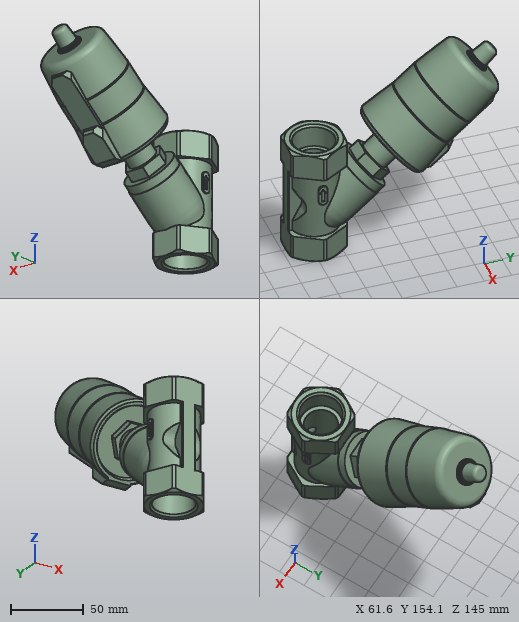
import cadquery as cq
import math


BODY_LENGTH = 90.4
BODY_RADIUS = 18.5
BORE_DIA = 24.0
SOCKET_DIA = 30.3
SOCKET_DEPTH = 17.7
SOCKET_CHAMFER = 1.5

HEX_ACROSS_FLATS = 41.5
HEX_CORNER_RADIUS = 23.3
HEX_HEIGHT = 19.7
HEX_FACE_DIA = 41.0
HEX_CHAMFER_ANGLE = 30.0

RIB_WIDTH = 10.5
RIB_CHAMFER = 0.6

HOLLOW_TOP = (-19.4, 12.5)
HOLLOW_ARC_START = (-14.0, 5.5)
HOLLOW_DEEPEST = (-10.8, -1.7)
HOLLOW_ARC_END = (-13.0, -8.0)
HOLLOW_BOTTOM = (-19.4, -20.6)
HOLLOW_WALL = 1.8

PAD_WIDTH = 6.5
PAD_LENGTH = 15.7
PAD_CENTRE_Z = 9.5
PAD_FACE_X = 19.4
ARROW_TIP_Z = 14.6
ARROW_NECK_Z = 11.4
ARROW_TAIL_Z = 4.6
ARROW_HEAD_HALF_WIDTH = 2.2
ARROW_SHAFT_HALF_WIDTH = 1.1
ARROW_DEPTH = 0.5

BRANCH_ELEVATION = 40.0
BRANCH_ORIGIN_Z = -17.4

BRANCH_RADIUS = 20.5
COLLAR_RADIUS = 20.0
TAIL_RADIUS = 17.5
SHOULDER_RADIUS = 19.9
SHOULDER_BULGE = 0.2
SHOULDER_START = 8.8
BARREL_START = 15.2
COLLAR_START = 41.9
COLLAR_END = 48.8

NUT_ACROSS_FLATS = 27.1
BONNET_END = 57.3
NECK_DIA = 22.0
GLAND_START = 70.1

RIM_RADIUS = 30.8
RIM_START = 72.9
RIM_CHAMFER = 1.4
RIM_CHAMFER_LENGTH = 2.6
RECESS_RADIUS = 27.0
RECESS_FLOOR_RADIUS = 25.9
RECESS_DEPTH = 3.4
BAND_RADIUS = 28.0
BAND_START = 102.5
BAND_END = 123.4
SIDE_BULGE = 0.2
CAP_RADIUS = 25.0
CAP_END = 155.0
CAP_FILLET = 4.8
SEAM_WIDTH = 0.8
SEAM_DEPTH = 0.3

FLANGE_DIA = 18.2
FLANGE_HEIGHT = 1.8
FLANGE_CHAMFER = 0.6
STEP_RADIUS = 7.5
STEP_HEIGHT = 1.1
KNOB_BASE_RADIUS = 7.0
KNOB_TIP_RADIUS = 5.9
KNOB_END = 170.3
KNOB_FILLET = 2.6

PORT_HALF_WIDTH = 9.2
PORT_END_HALF_WIDTH = 4.6
PORT_FLOOR_Z = 7.0
PORT_CEILING_Z = 92.4
HOUSING_PORTS = (
    (89.3, 148.2, 28.6, 127.4, 131.5),
    (RIM_START, 103.8, 34.2, 95.0, 100.1),
)


def incline(shape):
    """Carry a shape built along +Z from the origin onto the branch axis."""
    tilted = shape.rotate((0, 0, 0), (1, 0, 0), BRANCH_ELEVATION - 90)
    return tilted.translate((0, 0, BRANCH_ORIGIN_Z))


def cylinder(radius, start, end):
    return cq.Workplane("XY").workplane(offset=start).circle(radius).extrude(end - start)


def hexagon(across_flats, start, end):
    """Hexagonal prism along Z with two corners on the X axis."""
    across_corners = across_flats / math.cos(math.radians(30))
    return cq.Workplane("XY").workplane(offset=start).polygon(6, across_corners).extrude(end - start)


def make_hex_end():
    """Upper pipe-end hexagon with trimmed corners and a turned end chamfer."""
    top = BODY_LENGTH / 2
    bottom = top - HEX_HEIGHT
    face_radius = HEX_FACE_DIA / 2
    drop = (HEX_CORNER_RADIUS - face_radius) * math.tan(math.radians(HEX_CHAMFER_ANGLE))
    turned_blank = (
        cq.Workplane("XZ")
        .moveTo(0, bottom)
        .lineTo(HEX_CORNER_RADIUS, bottom)
        .lineTo(HEX_CORNER_RADIUS, top - drop)
        .lineTo(face_radius, top)
        .lineTo(0, top)
        .close()
        .revolve(360, (0, 0, 0), (0, 1, 0))
    )
    return hexagon(HEX_ACROSS_FLATS, bottom, top).intersect(turned_blank)


def make_socket():
    """Upper pipe socket with a chamfered mouth, as a cutting shape."""
    top = BODY_LENGTH / 2
    radius = SOCKET_DIA / 2
    return (
        cq.Workplane("XZ")
        .moveTo(0, top - SOCKET_DEPTH)
        .lineTo(radius, top - SOCKET_DEPTH)
        .lineTo(radius, top - SOCKET_CHAMFER)
        .lineTo(radius + SOCKET_CHAMFER, top)
        .lineTo(0, top)
        .close()
        .revolve(360, (0, 0, 0), (0, 1, 0))
    )


def with_mirror(shape, plane):
    return shape.union(shape.mirror(plane))


def make_branch():
    """Branch barrel with a rounded shoulder that runs down into the pipe body."""
    shoulder_mid = (
        (SHOULDER_RADIUS + BRANCH_RADIUS) / 2 + SHOULDER_BULGE,
        (SHOULDER_START + BARREL_START) / 2,
    )
    return (
        cq.Workplane("XZ")
        .lineTo(TAIL_RADIUS, 0)
        .lineTo(SHOULDER_RADIUS, SHOULDER_START)
        .threePointArc(shoulder_mid, (BRANCH_RADIUS, BARREL_START))
        .lineTo(BRANCH_RADIUS, COLLAR_START)
        .lineTo(COLLAR_RADIUS, COLLAR_START)
        .lineTo(COLLAR_RADIUS, COLLAR_END)
        .lineTo(0, COLLAR_END)
        .close()
        .revolve(360, (0, 0, 0), (0, 1, 0))
    )


def make_hollow():
    """Cutting shape of the front hollow, running across the body along X."""
    return (
        cq.Workplane("YZ")
        .moveTo(*HOLLOW_TOP)
        .lineTo(*HOLLOW_ARC_START)
        .threePointArc(HOLLOW_DEEPEST, HOLLOW_ARC_END)
        .lineTo(*HOLLOW_BOTTOM)
        .close()
        .extrude(BODY_RADIUS, both=True)
    )


def make_rib():
    depth = HEX_ACROSS_FLATS / 2
    inner = -HOLLOW_DEEPEST[0] - HOLLOW_WALL / 2
    rib_length = BODY_LENGTH - 2 * HEX_HEIGHT
    rib = cq.Workplane("XY").box(RIB_WIDTH, depth - inner, rib_length)
    rib = rib.edges("|Z and <Y").chamfer(RIB_CHAMFER)
    return rib.translate((0, -(depth + inner) / 2, 0))


def make_flow_pad():
    """Raised pad on the -X side with an arrow sunk into its face."""
    face = cq.Workplane("YZ").workplane(offset=-PAD_FACE_X)
    reach = PAD_FACE_X - SOCKET_DIA / 2
    pad = face.center(0, PAD_CENTRE_Z).slot2D(PAD_LENGTH, PAD_WIDTH, 90).extrude(reach)
    arrow = (
        face.moveTo(0, ARROW_TIP_Z)
        .lineTo(ARROW_HEAD_HALF_WIDTH, ARROW_NECK_Z)
        .lineTo(ARROW_SHAFT_HALF_WIDTH, ARROW_NECK_Z)
        .lineTo(ARROW_SHAFT_HALF_WIDTH, ARROW_TAIL_Z)
        .lineTo(-ARROW_SHAFT_HALF_WIDTH, ARROW_TAIL_Z)
        .lineTo(-ARROW_SHAFT_HALF_WIDTH, ARROW_NECK_Z)
        .lineTo(-ARROW_HEAD_HALF_WIDTH, ARROW_NECK_Z)
        .close()
        .extrude(ARROW_DEPTH)
    )
    return pad.cut(arrow)


def make_passages():
    """Bore and sockets; the wall behind the hollow stays standing in the bore."""
    bore = cylinder(BORE_DIA / 2, -BODY_LENGTH / 2, BODY_LENGTH / 2)
    hollow_wall = make_hollow().translate((0, HOLLOW_WALL, 0))
    return bore.union(with_mirror(make_socket(), "XY")).cut(hollow_wall)


def make_valve_body():
    tube = cylinder(BODY_RADIUS, -BODY_LENGTH / 2, BODY_LENGTH / 2)
    return (
        tube.union(with_mirror(make_hex_end(), "XY"))
        .union(with_mirror(make_flow_pad(), "YZ"))
        .union(incline(make_branch()))
        .cut(make_hollow())
        .union(make_rib())
        .cut(make_passages())
    )


def make_bonnet():
    """Bonnet nut, neck and gland nut between the branch and the actuator."""
    housing_floor = RIM_START + RECESS_DEPTH
    nut = hexagon(NUT_ACROSS_FLATS, COLLAR_END, BONNET_END)
    neck = cylinder(NECK_DIA / 2, BONNET_END, GLAND_START)
    gland = hexagon(NUT_ACROSS_FLATS, GLAND_START, housing_floor)
    return nut.union(neck).union(gland)


def make_housing():
    """Piston housing: flared skirt, straight band and tapered cap."""
    rim_edge = RIM_START + RIM_CHAMFER_LENGTH
    skirt_mid = ((RIM_RADIUS + BAND_RADIUS) / 2 + SIDE_BULGE, (rim_edge + BAND_START) / 2)
    cap_mid = ((BAND_RADIUS + CAP_RADIUS) / 2 + SIDE_BULGE, (BAND_END + CAP_END) / 2)
    housing = (
        cq.Workplane("XZ")
        .moveTo(0, RIM_START + RECESS_DEPTH)
        .lineTo(RECESS_FLOOR_RADIUS, RIM_START + RECESS_DEPTH)
        .lineTo(RECESS_RADIUS, RIM_START)
        .lineTo(RIM_RADIUS - RIM_CHAMFER, RIM_START)
        .lineTo(RIM_RADIUS, rim_edge)
        .threePointArc(skirt_mid, (BAND_RADIUS, BAND_START))
        .lineTo(BAND_RADIUS, BAND_END)
        .threePointArc(cap_mid, (CAP_RADIUS, CAP_END))
        .lineTo(0, CAP_END)
        .close()
        .revolve(360, (0, 0, 0), (0, 1, 0))
        .faces(">Z")
        .edges()
        .fillet(CAP_FILLET)
    )
    for seam in (BAND_START, BAND_END):
        start = seam - SEAM_WIDTH / 2
        end = seam + SEAM_WIDTH / 2
        groove = cylinder(RIM_RADIUS, start, end).cut(cylinder(BAND_RADIUS - SEAM_DEPTH, start, end))
        housing = housing.cut(groove)
    return housing


def make_indicator():
    """Stepped flange and rounded, tapered knob on the cap."""
    flange_radius = FLANGE_DIA / 2
    flange_end = CAP_END + FLANGE_HEIGHT
    step_end = flange_end + STEP_HEIGHT
    return (
        cq.Workplane("XZ")
        .moveTo(0, CAP_END)
        .lineTo(flange_radius, CAP_END)
        .lineTo(flange_radius, flange_end - FLANGE_CHAMFER)
        .lineTo(flange_radius - FLANGE_CHAMFER, flange_end)
        .lineTo(STEP_RADIUS, flange_end)
        .lineTo(STEP_RADIUS, step_end)
        .lineTo(KNOB_BASE_RADIUS, step_end)
        .lineTo(KNOB_TIP_RADIUS, KNOB_END)
        .lineTo(0, KNOB_END)
        .close()
        .revolve(360, (0, 0, 0), (0, 1, 0))
        .faces(">Z")
        .edges()
        .fillet(KNOB_FILLET)
    )


def make_port(start, end, outer, taper_start_y, taper_end_y):
    """Block under the housing whose upper end narrows between two vertical planes."""
    recess = cylinder(RECESS_RADIUS, RIM_START, RIM_START + RECESS_DEPTH)
    block = (
        cq.Workplane("XY")
        .box(2 * PORT_HALF_WIDTH, outer, end - start, centered=(True, False, False))
        .translate((0, 0, start))
        .cut(recess)
    )
    plan = (
        cq.Workplane("XY")
        .workplane(offset=PORT_FLOOR_Z)
        .moveTo(-PORT_HALF_WIDTH, 0)
        .lineTo(-PORT_HALF_WIDTH, taper_start_y)
        .lineTo(-PORT_END_HALF_WIDTH, taper_end_y)
        .lineTo(PORT_END_HALF_WIDTH, taper_end_y)
        .lineTo(PORT_HALF_WIDTH, taper_start_y)
        .lineTo(PORT_HALF_WIDTH, 0)
        .close()
        .extrude(PORT_CEILING_Z - PORT_FLOOR_Z)
    )
    return incline(block).intersect(plan)


result = make_valve_body()
for axial_part in (make_bonnet(), make_housing(), make_indicator()):
    result = result.union(incline(axial_part))
for port in HOUSING_PORTS:
    result = result.union(make_port(*port))